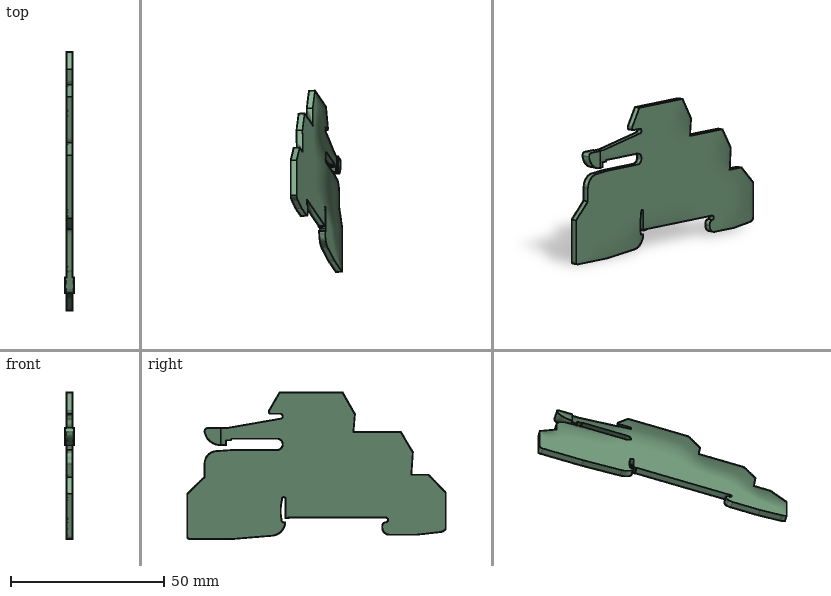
import cadquery as cq

length = 84.5
height = 47.9
plate_thickness = 2.0
pad_thickness = 3.0

back = length / 2
front = -length / 2

low_step = 21.0
middle_step = 35.1
rail_seat = 7.0
rail_lip = rail_seat - 0.25
back_foot = 1.4
back_corner = 3.4
arm_top = 36.3
arm_bottom = 32.8
arm_ledge = 32.3
pad_bottom = 30.7
notch_top = 40.9
catch_level = 5.5

arm_tip = -36.6
pad_start = -31.35
arm_hook = -29.5
rail_front = -10.1
front_corner = 0.85
slot_end = -11.1
slot_width = 3.6
slot_radius = slot_width / 2
slot_center = slot_end - slot_radius
slot_bottom = arm_bottom - slot_width


def draw_steps(outline):
    """Stepped upper edge, from the back wall to the notch below the top step."""
    return (
        outline.lineTo(back, 15.2)
        .lineTo(36.6, low_step)
        .lineTo(31.0, low_step)
        .lineTo(31.5, 28.3)
        .lineTo(27.55, middle_step)
        .lineTo(12.1, middle_step)
        .lineTo(12.6, 40.8)
        .lineTo(8.5, height)
        .lineTo(-12.1, height)
        .lineTo(-15.5, 42.1)
        .threePointArc((-15.55, 41.4), (-15.1, notch_top))
        .lineTo(-11.8, notch_top)
        .threePointArc((slot_end, 40.1), (-11.75, 39.4))
    )


def draw_arm_tip(outline):
    """Rounded nose of the arm, from its top edge to its underside."""
    return (
        outline.lineTo(-35.5, arm_top)
        .threePointArc((-36.25, arm_top - 0.3), (arm_tip, 35.15))
        .threePointArc((-35.15, 32.3), (pad_start, pad_bottom))
    )


def draw_arm(outline):
    """Flexible marker arm and the round-ended slot beneath it."""
    return (
        draw_arm_tip(outline.lineTo(-29.15, arm_top))
        .lineTo(arm_hook, pad_bottom)
        .lineTo(arm_hook, arm_ledge)
        .lineTo(-28.0, arm_ledge)
        .lineTo(-27.7, arm_bottom)
        .lineTo(slot_center, arm_bottom)
        .threePointArc((slot_end, arm_bottom - slot_radius), (slot_center, slot_bottom))
    )


def draw_front_foot(outline):
    """Front shoulder, front wall and sloping foot."""
    return (
        outline.lineTo(-27.55, slot_bottom)
        .lineTo(-32.3, 28.8)
        .threePointArc((-35.4, 27.55), (arm_tip, 24.7))
        .lineTo(arm_tip, 20.3)
        .lineTo(front, 14.8)
        .lineTo(front, front_corner)
        .radiusArc((front + front_corner, 0), -front_corner)
        .lineTo(-27.5, 0)
        .lineTo(-14.4, 1.1)
        .threePointArc((-11.75, 2.3), (rail_front, catch_level))
    )


def draw_rail_recess(outline):
    """Spring slot, rail seat and hooked back foot."""
    return (
        outline.lineTo(-10.7, catch_level)
        .threePointArc((-11.2, 5.75), (-11.4, 6.5))
        .threePointArc((-11.7, 9.7), (-11.2, 12.85))
        .threePointArc((-10.65, 13.7), (rail_front, 13.0))
        .lineTo(rail_front, rail_lip)
        .lineTo(-9.1, rail_lip)
        .lineTo(-9.3, rail_seat)
        .lineTo(22.5, rail_seat)
        .threePointArc((23.3, 6.3), (22.8, 5.6))
        .threePointArc((21.8, 5.15), (21.5, 3.9))
        .threePointArc((22.0, 2.3), (23.6, back_foot))
        .lineTo(32.95, back_foot)
        .lineTo(40.4, 2.3)
        .threePointArc((41.6, 2.7), (back, back_corner))
    )


def extrude_centered(outline, thickness):
    return outline.close().extrude(thickness / 2, both=True)


outline = cq.Workplane("YZ").moveTo(back, back_corner)
outline = draw_steps(outline)
outline = draw_arm(outline)
outline = draw_front_foot(outline)
outline = draw_rail_recess(outline)
plate = extrude_centered(outline, plate_thickness)

pad_outline = draw_arm_tip(cq.Workplane("YZ").moveTo(pad_start, arm_top))
pad = extrude_centered(pad_outline, pad_thickness)

result = plate.union(pad)